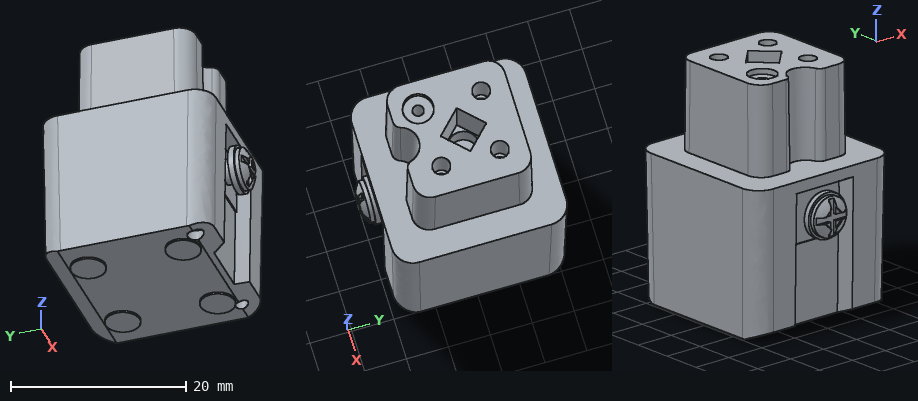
import cadquery as cq
import math

total_height = 29.8
shoulder_height = 18.62
foot_height = 0.25

block_side = 20.8
block_foot_side = 20.3
block_corner_radius = 2.5
block_chamfer_run = 2.18
block_chamfer_rise = 0.83

tower_width = 14.07
tower_depth = 13.98
tower_root_width = 14.15
tower_root_depth = 14.25
tower_corner_radius = 2.03
key_radius = 2.2
key_root_radius = 2.05
key_edge_x = 2.98

contacts = [(-3.7, 3.75), (3.7, 3.75), (3.7, -3.22)]
contact_mouth_radius = 1.05
contact_mouth_depth = 4.47
pin_radius = 0.65
pin_depth = 7.45
large_contact = (-3.7, -3.75)
large_mouth_radius = 1.8
large_mouth_depth = 0.7

well_center = (0.2, 0.48)
well_side = 3.85
well_depth = 5.95
well_bore_radius = 1.82
well_bore_depth = 8.95

recess_depth = 1.52
recess_floor_half = 3.43
recess_mouth_half_top = 4.3
recess_mouth_half_bottom = 4.35
recess_floor_top = 16.63
recess_mouth_top = 17.2
recess_pad_bottom = 10.35

screw_height = 13.6
dome_apex = 12.22
washer_radius = 2.83
washer_face = 10.75
washer_thickness = 0.72
neck_radius = 1.5
head_radius = 2.5
head_shoulder = 11.3
slot_width = 0.8
slot_depth = 0.75
socket_half_diagonal = 1.65
socket_depth = 0.4

foot_radius = 2.05
foot_offset_x = 5.9
foot_offset_y = 5.75

corner_holes = [(-8.0, -8.0, 0.95), (7.48, -8.1, 0.75)]
corner_hole_top = 1.5

recess_pad_y = recess_depth - block_side / 2


def rounded_square(side, height):
    """Square outline with rounded corners, lifted to a given height."""
    outline = cq.Sketch().rect(side, side).vertices().fillet(block_corner_radius)
    return outline.moved(cq.Location(cq.Vector(0, 0, height)))


def make_block():
    """Drafted block whose two bottom edges along X are chamfered."""
    lower = rounded_square(block_foot_side, foot_height)
    upper = rounded_square(block_side, shoulder_height)
    block = cq.Workplane("XY").placeSketch(lower, upper).loft(ruled=True)
    edge = block_foot_side / 2
    slope = block_chamfer_rise / block_chamfer_run
    outside = edge + block_chamfer_run
    for side in (-1, 1):
        wedge = (
            cq.Workplane("YZ")
            .moveTo(side * (edge - block_chamfer_run), foot_height)
            .lineTo(side * outside, foot_height)
            .lineTo(side * outside, foot_height + slope * 2 * block_chamfer_run)
            .close()
            .extrude(block_side, both=True)
        )
        block = block.cut(wedge)
    return block


def draw_tower_outline(plane, width, depth, groove_radius):
    """Rounded rectangle with a round-edged key groove in its -Y side."""
    half_x = width / 2
    half_y = depth / 2
    flat_x = half_x - tower_corner_radius
    flat_y = half_y - tower_corner_radius
    diagonal = tower_corner_radius * math.sqrt(0.5)
    mid_x = flat_x + diagonal
    mid_y = flat_y + diagonal
    edge_radius = (key_edge_x**2 - groove_radius**2) / (2 * groove_radius)
    share = groove_radius / (groove_radius + edge_radius)
    tangent_x = key_edge_x * share
    tangent_y = edge_radius * share - half_y
    half_turn = (math.pi / 2 - math.atan2(edge_radius, key_edge_x)) / 2
    round_x = key_edge_x - edge_radius * math.sin(half_turn)
    round_y = edge_radius * (1 - math.cos(half_turn)) - half_y
    return (
        plane.moveTo(key_edge_x, -half_y)
        .lineTo(flat_x, -half_y)
        .threePointArc((mid_x, -mid_y), (half_x, -flat_y))
        .lineTo(half_x, flat_y)
        .threePointArc((mid_x, mid_y), (flat_x, half_y))
        .lineTo(-flat_x, half_y)
        .threePointArc((-mid_x, mid_y), (-half_x, flat_y))
        .lineTo(-half_x, -flat_y)
        .threePointArc((-mid_x, -mid_y), (-flat_x, -half_y))
        .lineTo(-key_edge_x, -half_y)
        .threePointArc((-round_x, round_y), (-tangent_x, tangent_y))
        .threePointArc((0, groove_radius - half_y), (tangent_x, tangent_y))
        .threePointArc((round_x, round_y), (key_edge_x, -half_y))
        .close()
    )


def make_tower():
    """Tower that widens, and whose groove narrows, toward the shoulder."""
    root = cq.Workplane("XY").workplane(offset=shoulder_height)
    root = draw_tower_outline(root, tower_root_width, tower_root_depth, key_root_radius)
    top = root.workplane(offset=total_height - shoulder_height)
    return draw_tower_outline(top, tower_width, tower_depth, key_radius).loft(ruled=True)


def blind_hole(center, radius, depth):
    """Round cutter sunk from the tower top."""
    top = cq.Workplane("XY", origin=(*center, total_height))
    return top.circle(radius).extrude(-depth)


def draw_recess_section(plane, face_y, mouth_half):
    """Trapezoid that flares from the recess floor to its mouth."""
    floor_y = face_y + recess_depth
    floor_left = (-recess_floor_half, floor_y)
    floor_right = (recess_floor_half, floor_y)
    corners = [floor_left, floor_right, (mouth_half, face_y), (-mouth_half, face_y)]
    return plane.polyline(corners).close()


def make_recess():
    """Cutter that follows the drafted face, with an upright pad left behind the screw."""
    face_y = -block_side / 2
    bottom = cq.Workplane("XY").workplane(offset=foot_height)
    bottom = draw_recess_section(bottom, -block_foot_side / 2, recess_mouth_half_bottom)
    top = bottom.workplane(offset=shoulder_height - foot_height)
    walls = draw_recess_section(top, face_y, recess_mouth_half_top).loft(ruled=True)
    side_profile = (
        cq.Workplane("YZ")
        .moveTo(face_y, 0)
        .lineTo(face_y, recess_mouth_top)
        .lineTo(recess_pad_y, recess_floor_top)
        .lineTo(recess_pad_y, recess_pad_bottom)
        .lineTo(0, recess_pad_bottom)
        .lineTo(0, 0)
        .close()
        .extrude(block_side, both=True)
    )
    return walls.intersect(side_profile)


def make_screw():
    """Washer and domed head with a cross slot, pointing toward -Y."""
    dome_rise = dome_apex - head_shoulder
    dome_radius = (head_radius**2 + dome_rise**2) / (2 * dome_rise)
    mid_radius = head_radius / 2
    mid_y = dome_apex - dome_radius + math.sqrt(dome_radius**2 - mid_radius**2)
    screw = (
        cq.Workplane("XY")
        .moveTo(0, recess_pad_y)
        .lineTo(neck_radius, recess_pad_y)
        .lineTo(neck_radius, washer_thickness - washer_face)
        .lineTo(washer_radius, washer_thickness - washer_face)
        .lineTo(washer_radius, -washer_face)
        .lineTo(head_radius, -washer_face)
        .lineTo(head_radius, -head_shoulder)
        .threePointArc((mid_radius, -mid_y), (0, -dome_apex))
        .close()
        .revolve(360, (0, 0), (0, 1))
    )
    tip = cq.Workplane("XZ", origin=(0, -dome_apex, 0))
    slot_length = 2 * head_radius
    screw = screw.cut(tip.rect(slot_length, slot_width).extrude(-slot_depth))
    screw = screw.cut(tip.rect(slot_width, slot_length).extrude(-slot_depth))
    socket_side = socket_half_diagonal * math.sqrt(2)
    socket = tip.transformed(rotate=(0, 0, 45)).rect(socket_side, socket_side).extrude(-socket_depth)
    return screw.cut(socket).translate((0, 0, screw_height))


body = make_block().union(make_tower())

for contact in contacts:
    body = body.cut(blind_hole(contact, contact_mouth_radius, contact_mouth_depth))
    body = body.cut(blind_hole(contact, pin_radius, pin_depth))
body = body.cut(blind_hole(large_contact, large_mouth_radius, large_mouth_depth))
body = body.cut(blind_hole(large_contact, pin_radius, pin_depth))

well = (
    cq.Workplane("XY", origin=(*well_center, total_height))
    .transformed(rotate=(0, 0, 45))
    .rect(well_side, well_side)
    .extrude(-well_depth)
)
body = body.cut(well)
body = body.cut(blind_hole(well_center, well_bore_radius, well_bore_depth))

body = body.cut(make_recess()).union(make_screw())

for hole_x, hole_y, hole_radius in corner_holes:
    corner_hole = cq.Workplane("XY").center(hole_x, hole_y).circle(hole_radius).extrude(corner_hole_top)
    body = body.cut(corner_hole)

feet = (
    cq.Workplane("XY")
    .rect(2 * foot_offset_x, 2 * foot_offset_y, forConstruction=True)
    .vertices()
    .circle(foot_radius)
    .extrude(2 * foot_height)
)
result = body.union(feet)